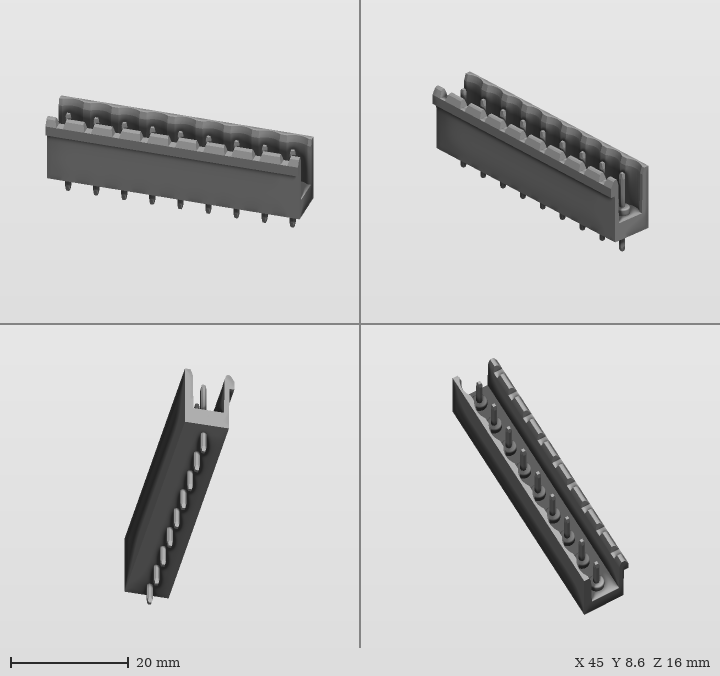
import cadquery as cq
import math

length = 45.0
depth = 8.6
pin_count = 9
pitch = length / pin_count
pin_xs = [(i - (pin_count - 1) / 2) * pitch for i in range(pin_count)]

height = 12.0
floor_z = 3.38
back_shoulder_z = 10.8
front_shoulder_z = 10.35
hook_under_z = 8.9
hook_nose_z = 10.65
hook_bevel_z = 11.8

back_y = 3.8
back_floor_y = 2.3
back_shoulder_y = 2.45
back_top_y = 2.8
front_floor_y = -3.0
front_shoulder_y = -3.1
front_top_y = -3.5
front_foot_y = -3.85
front_wall_y = -3.95
hook_bevel_y = -4.25
hook_nose_y = back_y - depth

scallop_floor_radius = 2.95
scallop_shoulder_radius = 3.05
scallop_top_radius = 3.38

notch_floor_width = 1.15
notch_top_width = 1.9

pin_width = 1.0
pin_tip_width = 0.55
pin_tip_length = 1.0
pin_bottom_z = -4.0
pin_top_z = 11.0
collar_radius = 1.35
collar_top_z = 4.6
collar_rounding = 0.25


def make_housing():
    """U-shaped section with drafted walls and a hook along the front wall."""
    section = (
        cq.Workplane("YZ")
        .moveTo(back_y, 0)
        .lineTo(back_y, height)
        .lineTo(back_top_y, height)
        .lineTo(back_shoulder_y, back_shoulder_z)
        .lineTo(back_floor_y, floor_z)
        .lineTo(front_floor_y, floor_z)
        .lineTo(front_shoulder_y, front_shoulder_z)
        .tangentArcPoint((front_top_y, height), relative=False)
        .lineTo(front_wall_y, height)
        .lineTo(hook_bevel_y, hook_bevel_z)
        .lineTo(hook_nose_y, hook_nose_z)
        .lineTo(hook_nose_y, hook_under_z)
        .lineTo(front_wall_y, hook_under_z)
        .lineTo(front_foot_y, 0)
        .close()
    )
    return section.extrude(length / 2, both=True)


def make_scallop():
    """Half of a revolved cutter that hollows the back wall behind one pin."""
    half_profile = [
        (0, floor_z),
        (scallop_floor_radius, floor_z),
        (scallop_shoulder_radius, back_shoulder_z),
        (scallop_top_radius, height),
        (0, height),
    ]
    return cq.Workplane("XZ").polyline(half_profile).close().revolve(180, (0, 0), (0, 1))


def make_notch():
    """Tapered cutter that opens the hook in front of one pin."""
    outline = [
        (-notch_floor_width / 2, hook_nose_z),
        (notch_floor_width / 2, hook_nose_z),
        (notch_top_width / 2, height),
        (-notch_top_width / 2, height),
    ]
    return cq.Workplane("XZ").polyline(outline).close().extrude(-hook_nose_y)


def make_pin_half(tip_z):
    """Square bar from Z = 0 to tip_z that narrows over its last stretch."""
    shank_end_z = tip_z - math.copysign(pin_tip_length, tip_z)
    shank = cq.Workplane("XY").rect(pin_width, pin_width).extrude(shank_end_z)
    tip = (
        cq.Workplane("XY", origin=(0, 0, shank_end_z))
        .rect(pin_width, pin_width)
        .workplane(offset=tip_z - shank_end_z)
        .rect(pin_tip_width, pin_tip_width)
        .loft()
    )
    return shank.union(tip)


def make_pin():
    """Octagonal pin whose two ends taper to a square, with a collar on the housing floor."""
    sides = 8
    half_side_angle = 180 / sides
    corner_diameter = pin_width / math.cos(math.radians(half_side_angle))
    pin = (
        cq.Workplane("XY", origin=(0, 0, pin_bottom_z))
        .transformed(rotate=(0, 0, half_side_angle))
        .polygon(sides, corner_diameter)
        .extrude(pin_top_z - pin_bottom_z)
    )
    tapered_bar = make_pin_half(pin_top_z).union(make_pin_half(pin_bottom_z))
    collar = (
        cq.Workplane("XY", origin=(0, 0, floor_z))
        .circle(collar_radius)
        .extrude(collar_top_z - floor_z)
        .faces(">Z")
        .fillet(collar_rounding)
    )
    return pin.intersect(tapered_bar).union(collar)


result = make_housing()
scallop = make_scallop()
notch = make_notch()
pin = make_pin()
for x in pin_xs:
    result = result.cut(scallop.translate((x, 0, 0)))
    result = result.cut(notch.translate((x, 0, 0)))
    result = result.union(pin.translate((x, 0, 0)))